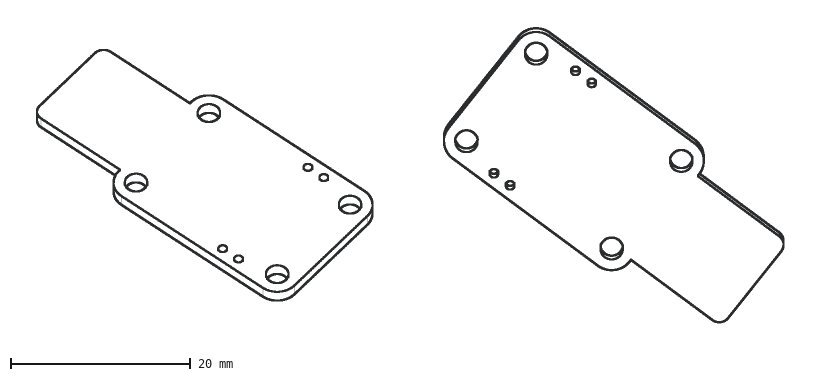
import cadquery as cq

total_length = 38.1
body_width = 17.8
thickness = 1.6

tab_length = 12.7
tab_width = 12.23
body_length = total_length - tab_length
body_corner_radius = 2.5
tab_corner_radius = 1.25

mount_hole_diameter = 2.5
mount_spacing_x = body_length - 2 * body_corner_radius
mount_spacing_y = body_width - 2 * body_corner_radius

small_hole_diameter = 1.0
small_hole_pitch = 2.3
small_row_spacing = 14.95
small_pair_center_x = 29.75

body_center_x = tab_length + body_length / 2


def make_body():
    """Wide plate with four rounded corners."""
    return (
        cq.Workplane("XY")
        .center(body_center_x, 0)
        .rect(body_length, body_width)
        .extrude(thickness)
        .edges("|Z")
        .fillet(body_corner_radius)
    )


def make_tab():
    """Narrow plate, rounded at its free end, reaching to the middle of the body."""
    return (
        cq.Workplane("XY")
        .center(body_center_x / 2, 0)
        .rect(body_center_x, tab_width)
        .extrude(thickness)
        .edges("|Z and <X")
        .fillet(tab_corner_radius)
    )


def hole_grid(center_x, spacing_x, spacing_y, diameter):
    """Two by two grid of through-hole cutters, symmetric about the X axis."""
    return (
        cq.Workplane("XY")
        .center(center_x, 0)
        .rarray(spacing_x, spacing_y, 2, 2)
        .circle(diameter / 2)
        .extrude(thickness)
    )


mount_holes = hole_grid(body_center_x, mount_spacing_x, mount_spacing_y, mount_hole_diameter)
small_holes = hole_grid(small_pair_center_x, small_hole_pitch, small_row_spacing, small_hole_diameter)

result = make_body().union(make_tab()).cut(mount_holes).cut(small_holes)